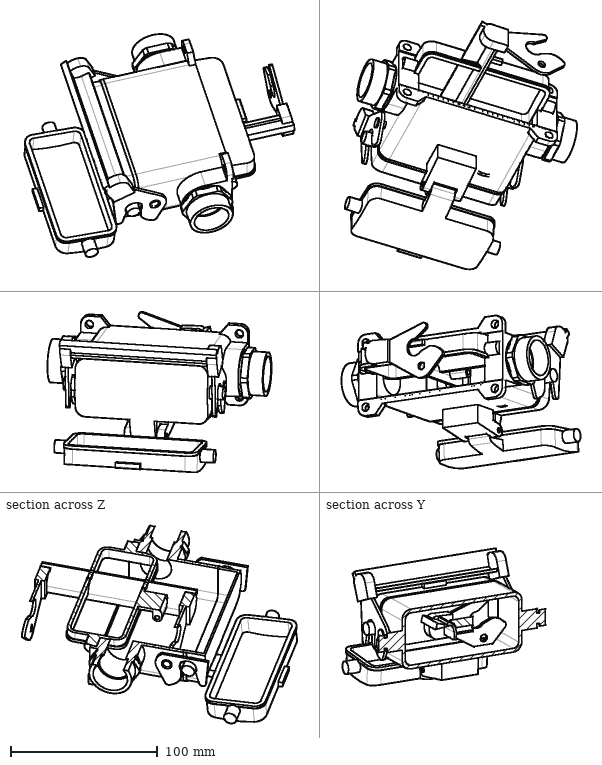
import cadquery as cq
import math


housing_half_x = 46.7
housing_half_z = 21.5
housing_length = 62.9
corner_radius = 7.0
wall = 3.0

ear_radius = 6.0
screw_hole_d = 5.5
screw_x = 52.3
screw_z = 22.5
flange_front_y = -3.6
ear_back_y = 0.9
ear_inner_z = 17.0
ear_slope_top_x = 44.3
ear_slope_end_x = 38.5
flange_half_x = screw_x + ear_radius
flange_half_z = screw_z + ear_radius

adapter_y = -19.1
boss_radius = 16.6
neck_d = 31.0
tube_d = 30.0
nut_across_flats = 32.0
nut_corner_d = 35.2
nut_inner_x = 60.0
nut_outer_x = 64.9
adapter_end_x = 75.0
adapter_bore_d = 24.24
entry_bore_d = 21.8
adapter_bore_depth = 12.0

pivot_y = -52.9
pivot_d = 4.9
pivot_hole_d = 5.1
pivot_head_d = 7.0
pivot_head_x = 53.0

hinge_drop = 34.2
hinge_offset = 1.1
hinge_y = -housing_length - hinge_offset
hinge_hole_d = 3.2
hinge_pin_d = 3.0
hinge_pin_tip_d = 2.46
hinge_pin_half = 14.7
arm_half_x = 8.6
bracket_half_x = 14.1
bracket_back_y = -37.2
bracket_front_y = -57.0
bracket_upper_z = -28.4
bracket_lower_z = -34.2
bracket_end_radius = 4.3

rim_half_z = 21.3
rim_height = 2.3
cover_inset = 0.5
cover_depth = 15.7
dome_radius = 90.0
cover_wall = 3.2
cover_floor = 1.7
cover_pin_d = 9.0
cover_pin_half = 55.5
cover_pin_height = 5.8
tab_half_x = 8.5
tab_low = 9.3
tab_high = 13.1
tab_reach = 24.0
tab_edge_radius = 1.2
arm_inner = 5.5
knuckle_radius = 3.2
arm_tip_radius = 4.5
open_angle = 85.3

lever_half = 54.66
cap_inner = 47.5
plate_outer = 52.2
plate_inner = 50.0
lever_angle = 112.2
lever_pivot_x = -25.6
lever_pivot_z = -13.5
slot_x = -20.1
slot_z = 0.3
slot_radius = 6.0
slot_start_angle = 38.0
slot_end_angle = 85.0
lever_half_height = 8.0
bar_bottom_z = -5.7
bar_centre_x = 12.4
bar_inner_radius = 6.0
bar_thickness = 2.0
lip_root_inner_angle = 55.0
lip_root_outer_angle = 80.0

crest_start = (17.4, -3.9)
crest_middle = (18.2, 0.0)
crest_end = (17.4, 4.2)
lip_back = (20.6, 3.7)
lip_front = (19.3, 8.3)
lip_root = (11.5, 5.9)


def x_cylinder(diameter, x_start, x_end, y, z):
    """Round bar along X between two X positions."""
    plane = cq.Workplane("YZ", origin=(x_start, y, z))
    return plane.circle(diameter / 2).extrude(x_end - x_start)


def centred_box(half_x, y_low, y_high, z_low, z_high):
    """Block symmetric about X = 0."""
    block = cq.Workplane("XY").box(2 * half_x, y_high - y_low, z_high - z_low)
    return block.translate((0, (y_low + y_high) / 2, (z_low + z_high) / 2))


def both_sides(half_part):
    """Part joined with its mirror image across X = 0."""
    return half_part.union(half_part.mirror("YZ"))


def rounded_plate(half_x, half_y, radius, height):
    plate = cq.Workplane("XY").rect(2 * half_x, 2 * half_y).extrude(height)
    return plate.edges("|Z").fillet(radius)


def dome(depth):
    """Long cylinder along X whose crest lies at the given depth above the rim plane."""
    length = 4 * housing_half_x
    return x_cylinder(2 * dome_radius, -length / 2, length / 2, 0, depth - dome_radius)


def make_cover():
    """Cover with its rim in Z = 0, its dome upwards and its hinge arm towards -Y."""
    tub_half_x = housing_half_x - cover_inset
    tub_half_y = rim_half_z - cover_inset
    outer = rounded_plate(tub_half_x, tub_half_y, corner_radius, cover_depth + 1)
    outer = outer.intersect(dome(cover_depth))
    rim = rounded_plate(housing_half_x, rim_half_z, corner_radius, rim_height)

    foot_y = -hinge_drop - knuckle_radius
    arm = centred_box(arm_half_x, -hinge_drop, -tub_half_y + cover_wall / 2, arm_inner, cover_depth)
    foot = centred_box(arm_half_x, foot_y, knuckle_radius - hinge_drop, hinge_offset, cover_depth)
    knuckle = x_cylinder(2 * knuckle_radius, -arm_half_x, arm_half_x, -hinge_drop, hinge_offset)
    arm = arm.union(foot).intersect(dome(cover_depth))
    arm = arm.faces("<Y").edges(">Z").fillet(arm_tip_radius).union(knuckle)

    tab = centred_box(tab_half_x, tub_half_y - cover_wall / 2, tab_reach, tab_low, tab_high)
    tab = tab.faces(">Y").edges(">Z").fillet(tab_edge_radius)
    pins = x_cylinder(cover_pin_d, -cover_pin_half, cover_pin_half, 0, cover_pin_height)
    pocket = rounded_plate(
        housing_half_x - cover_wall, rim_half_z - cover_wall, corner_radius - cover_wall, cover_depth
    )
    pocket = pocket.intersect(dome(cover_depth - cover_floor))
    hinge_hole = x_cylinder(hinge_hole_d, -arm_half_x, arm_half_x, -hinge_drop, hinge_offset)
    return rim.union(outer).union(arm).union(tab).union(pins).cut(pocket).cut(hinge_hole)


def on_arc(centre_x, centre_z, radius, angle):
    """Point on an arc, the angle measured from the -X direction towards +Z."""
    turn = math.radians(angle)
    return (centre_x - radius * math.cos(turn), centre_z + radius * math.sin(turn))


def on_bar_arc(radius, angle):
    """Point on an arc of the curved bar."""
    return on_arc(bar_centre_x, 0, radius, angle)


def lever_layer(y):
    """Sketch plane of the lever profile; extrusion runs towards -Y."""
    return cq.Workplane("XZ", origin=(0, y, 0))


def lever_end():
    """Side plate and end cap at the +Y end of the lever."""
    plate = (
        lever_layer(plate_outer)
        .moveTo(0, -lever_half_height)
        .lineTo(-21.0, -20.6)
        .threePointArc((-27.5, -21.4), (-32.0, -19.0))
        .lineTo(-42.0, -8.3)
        .threePointArc((-42.7, -6.0), (-41.2, -4.0))
        .threePointArc((-37.0, -1.2), (-32.2, -0.3))
        .lineTo(*on_arc(slot_x, slot_z, slot_radius, -slot_start_angle))
        .threePointArc((slot_x + slot_radius, slot_z), on_arc(slot_x, slot_z, slot_radius, slot_end_angle))
        .lineTo(-28.6, 12.3)
        .threePointArc((-29.5, 14.8), (-27.2, 16.7))
        .lineTo(0, lever_half_height)
        .close()
        .extrude(plate_outer - plate_inner)
    )
    pivot_hole = lever_layer(plate_outer).center(lever_pivot_x, lever_pivot_z)
    plate = plate.cut(pivot_hole.circle(pivot_hole_d / 2).extrude(plate_outer - plate_inner))
    cap = (
        lever_layer(lever_half)
        .moveTo(0, -lever_half_height)
        .lineTo(11.1, -lever_half_height)
        .threePointArc((14.9, -7.0), crest_start)
        .threePointArc(crest_middle, crest_end)
        .lineTo(15.6, 7.1)
        .threePointArc((13.3, 8.4), (11.2, 8.4))
        .lineTo(0, lever_half_height)
        .close()
        .extrude(lever_half - cap_inner)
    )
    return plate.union(cap)


def make_lever():
    """Lever with its curved handle bar along Y and its side plates towards -X."""
    outer_radius = bar_inner_radius + bar_thickness
    bar_outer_x = bar_centre_x - outer_radius
    bar_inner_x = bar_centre_x - bar_inner_radius
    root_lower = on_bar_arc(bar_inner_radius, lip_root_inner_angle)
    root_upper = on_bar_arc(outer_radius, lip_root_outer_angle)
    bar = (
        lever_layer(lever_half)
        .moveTo(bar_outer_x, bar_bottom_z)
        .lineTo(bar_inner_x, bar_bottom_z)
        .lineTo(bar_inner_x, 0)
        .threePointArc(on_bar_arc(bar_inner_radius, lip_root_inner_angle / 2), root_lower)
        .lineTo(*lip_back)
        .lineTo(*lip_front)
        .lineTo(*lip_root)
        .lineTo(*root_upper)
        .threePointArc(on_bar_arc(outer_radius, lip_root_outer_angle / 2), (bar_outer_x, 0))
        .close()
        .extrude(2 * lever_half)
    )
    end = lever_end()
    return bar.union(end).union(end.mirror("XZ"))


def housing_tube(half_x, half_z, radius):
    tube = cq.Workplane("XZ").rect(2 * half_x, 2 * half_z).extrude(housing_length)
    return tube.edges("|Y").fillet(radius)


def flange_quarter_outline(plane):
    """Flange outline of the quarter with +X and +Z, rounded about the screw hole."""
    diagonal = ear_radius * math.sqrt(0.5)
    return (
        plane.moveTo(0, 0)
        .lineTo(flange_half_x, 0)
        .lineTo(flange_half_x, screw_z)
        .threePointArc((screw_x + diagonal, screw_z + diagonal), (screw_x, flange_half_z))
        .lineTo(ear_slope_top_x, flange_half_z)
        .lineTo(ear_slope_end_x, housing_half_z)
        .lineTo(0, housing_half_z)
        .close()
    )


def make_flange():
    plate = flange_quarter_outline(cq.Workplane("XZ")).extrude(-flange_front_y)
    ear = flange_quarter_outline(cq.Workplane("XZ", origin=(0, ear_back_y, 0))).extrude(ear_back_y)
    ear = ear.intersect(centred_box(flange_half_x, 0, ear_back_y, ear_inner_z, flange_half_z))
    hole = cq.Workplane("XZ", origin=(screw_x, ear_back_y, screw_z))
    quarter = plate.union(ear).cut(hole.circle(screw_hole_d / 2).extrude(ear_back_y - flange_front_y))
    half = both_sides(quarter)
    return half.union(half.mirror("XY"))


def adapter(side):
    """Boss, hexagon and threaded tube on one end; side is +1 or -1."""
    boss = x_cylinder(2 * boss_radius, 0, side * flange_half_x, adapter_y, 0)
    boss_base = centred_box(flange_half_x, adapter_y, flange_front_y, -boss_radius, boss_radius)
    boss_base = boss_base.intersect(x_cylinder(4 * boss_radius, 0, side * flange_half_x, adapter_y, 0))
    neck = x_cylinder(neck_d, 0, side * nut_outer_x, adapter_y, 0)
    across_corners = nut_across_flats / math.cos(math.pi / 6)
    nut = cq.Workplane("YZ", origin=(side * nut_inner_x, adapter_y, 0)).polygon(6, across_corners)
    nut = nut.extrude(side * (nut_outer_x - nut_inner_x))
    nut = nut.intersect(x_cylinder(nut_corner_d, 0, side * nut_outer_x, adapter_y, 0))
    tube = x_cylinder(tube_d, 0, side * adapter_end_x, adapter_y, 0)
    return boss.union(boss_base).union(neck).union(nut).union(tube)


def make_bracket():
    """Fork below the housing that carries the hinge."""
    bracket = (
        cq.Workplane("YZ", origin=(-bracket_half_x, 0, 0))
        .moveTo(bracket_back_y, -housing_half_z + wall / 2)
        .lineTo(bracket_back_y, bracket_lower_z)
        .lineTo(hinge_y + 0.8, -hinge_drop - bracket_end_radius)
        .threePointArc((hinge_y - bracket_end_radius, -hinge_drop), (hinge_y - 0.6, -hinge_drop + bracket_end_radius))
        .lineTo(bracket_front_y, bracket_upper_z)
        .lineTo(bracket_front_y, -housing_half_z + wall / 2)
        .close()
        .extrude(2 * bracket_half_x)
    )
    gap_z = -hinge_drop - 2 * bracket_end_radius
    gap = centred_box(arm_half_x, hinge_y - 2 * bracket_end_radius, bracket_front_y, gap_z, -housing_half_z)
    hinge_hole = x_cylinder(hinge_hole_d, -bracket_half_x, bracket_half_x, hinge_y, -hinge_drop)
    return bracket.cut(gap).cut(hinge_hole)


def make_pivot():
    """Headed lever pivot on the +X side."""
    root_x = housing_half_x - wall
    shank = x_cylinder(pivot_d, root_x, pivot_head_x, pivot_y, 0)
    head = x_cylinder(pivot_head_d, plate_outer, pivot_head_x, pivot_y, 0)
    return shank.union(head)


def make_housing():
    shell = housing_tube(housing_half_x, housing_half_z, corner_radius)
    shell = shell.union(make_flange()).union(adapter(1)).union(adapter(-1))
    cavity = housing_tube(housing_half_x - wall, housing_half_z - wall, corner_radius - wall)
    entry = x_cylinder(entry_bore_d, -adapter_end_x, adapter_end_x, adapter_y, 0)
    shell = shell.cut(cavity).cut(entry)
    for side in (1, -1):
        bore_end = side * (adapter_end_x - adapter_bore_depth)
        shell = shell.cut(x_cylinder(adapter_bore_d, bore_end, side * adapter_end_x, adapter_y, 0))
    return shell.union(both_sides(make_pivot())).union(make_bracket())


def make_hinge_pin():
    pin = x_cylinder(hinge_pin_d, -hinge_pin_half, hinge_pin_half, hinge_y, -hinge_drop)
    return pin.faces("<X or >X").chamfer((hinge_pin_d - hinge_pin_tip_d) / 2)


cover = make_cover()
lever = make_lever()
hinge_pin = make_hinge_pin()

closed_cover = cover.rotate((0, 0, 0), (1, 0, 0), 90).translate((0, -housing_length, 0))
hinge_start = (0, hinge_y, -hinge_drop)
hinge_end = (1, hinge_y, -hinge_drop)
open_cover = closed_cover.rotate(hinge_start, hinge_end, open_angle)

mounted_lever = lever.translate((-lever_pivot_x, 0, -lever_pivot_z))
mounted_lever = mounted_lever.rotate((0, 0, 0), (0, 0, 1), 90).rotate((0, 0, 0), (1, 0, 0), lever_angle)
mounted_lever = mounted_lever.translate((0, pivot_y, 0))

loose_lever = lever
knuckle_clearance = centred_box(
    arm_half_x, -hinge_drop - knuckle_radius, knuckle_radius - hinge_drop, bar_bottom_z, bar_inner_radius
)
knuckle_clearance = knuckle_clearance.translate((bar_centre_x - bar_inner_radius + arm_half_x, 0, 0))
loose_cover = cover.cut(loose_lever).cut(knuckle_clearance)
housing = make_housing().cut(loose_cover).cut(loose_lever)
closed_cover = closed_cover.cut(housing)
open_cover = open_cover.cut(closed_cover).cut(housing)
mounted_lever = mounted_lever.cut(closed_cover)

bodies = [housing, closed_cover, open_cover, loose_cover, mounted_lever, loose_lever, hinge_pin]
result = cq.Compound.makeCompound([body.solids().val() for body in bodies])